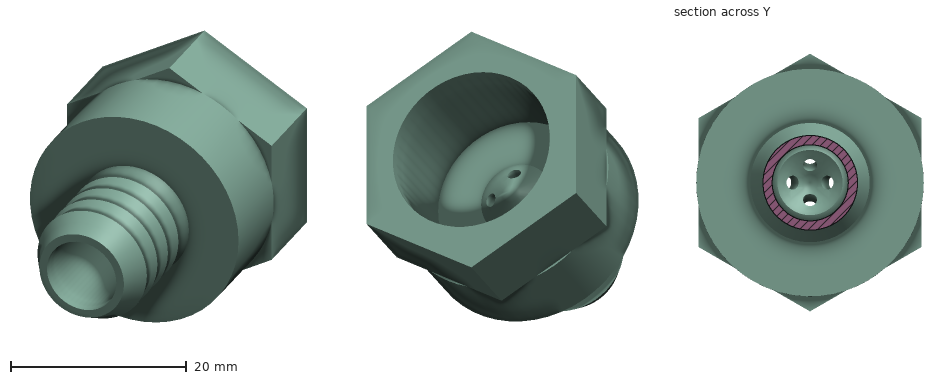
import cadquery as cq
import math

length = 35.0
head_length = 10.0
collar_length = 10.0
stem_length = length - head_length - collar_length

hex_across_corners = 29.33
hexagon_turn = 30.0
collar_diameter = 25.9
barb_count = 5
barb_tip_radius = 10.5 / 2
barb_crest_radius = 13.58 / 2
barb_pitch = stem_length / barb_count

bore_diameter = 8.6
bore_radius = bore_diameter / 2
socket_diameter = 19.05
socket_depth = 15.0
socket_floor_y = length - socket_depth

strainer_mouth_radius = 7.42 / 2
strainer_tilt = 30.0
strainer_thickness = 1.65
rim_slope = 20.0
strainer_hole_count = 4
strainer_hole_diameter = 1.58
strainer_hole_offset = 2.0

tilt_sin = math.sin(math.radians(strainer_tilt))
tilt_cos = math.cos(math.radians(strainer_tilt))
tilt_tan = tilt_sin / tilt_cos


def cylinder(diameter, start_y, depth):
    """Cylinder on the Y axis, running from start_y toward +Y."""
    return cq.Workplane("XZ", origin=(0, start_y, 0)).circle(diameter / 2).extrude(-depth)


def revolve_about_y(points):
    """Solid of revolution from an outline of (radius, y) points."""
    return cq.Workplane("XY").polyline(points).close().revolve(360, (0, 0, 0), (0, 1, 0))


def barbed_stem():
    """Stack of equal cones that widen toward the collar, with a step at each crest."""
    outline = [(0, 0)]
    for i in range(barb_count):
        outline.append((barb_tip_radius, i * barb_pitch))
        outline.append((barb_crest_radius, (i + 1) * barb_pitch))
    outline.append((0, stem_length))
    return revolve_about_y(outline)


def hexagon_head():
    """Hexagonal prism with two corners on the Z axis."""
    corners = cq.Workplane("XZ", origin=(0, length - head_length, 0)).polygon(6, hex_across_corners)
    return corners.extrude(-head_length).rotate((0, 0, 0), (0, 1, 0), hexagon_turn)


def strainer():
    """Conical shell of even thickness pointing toward +Y, with a rim sloping down to the bore wall."""
    outer_apex_y = socket_floor_y + bore_radius * tilt_tan
    apex_y = outer_apex_y - strainer_thickness / tilt_cos
    mouth_y = apex_y - strainer_mouth_radius * tilt_tan
    rim_drop = (bore_radius - strainer_mouth_radius) * math.tan(math.radians(rim_slope))
    shell = revolve_about_y([
        (strainer_mouth_radius, mouth_y),
        (bore_radius, mouth_y + rim_drop),
        (bore_radius, socket_floor_y),
        (0, outer_apex_y),
        (0, apex_y),
    ])

    hole_center = cq.Vector(strainer_hole_offset, apex_y - strainer_hole_offset * tilt_tan, 0)
    wall_normal = cq.Vector(tilt_sin, tilt_cos, 0)
    hole_start = hole_center - wall_normal * strainer_thickness / 2
    hole = cq.Solid.makeCylinder(
        strainer_hole_diameter / 2, 2 * strainer_thickness, hole_start, wall_normal
    )
    for i in range(strainer_hole_count):
        angle = i * 360 / strainer_hole_count
        shell = shell.cut(cq.Workplane(hole.rotate((0, 0, 0), (0, 1, 0), angle)))
    return shell


body = barbed_stem()
body = body.union(cylinder(collar_diameter, stem_length, collar_length))
body = body.union(hexagon_head())
body = body.cut(cylinder(bore_diameter, 0, socket_floor_y))
body = body.cut(cylinder(socket_diameter, socket_floor_y, socket_depth))

result = body.union(strainer())